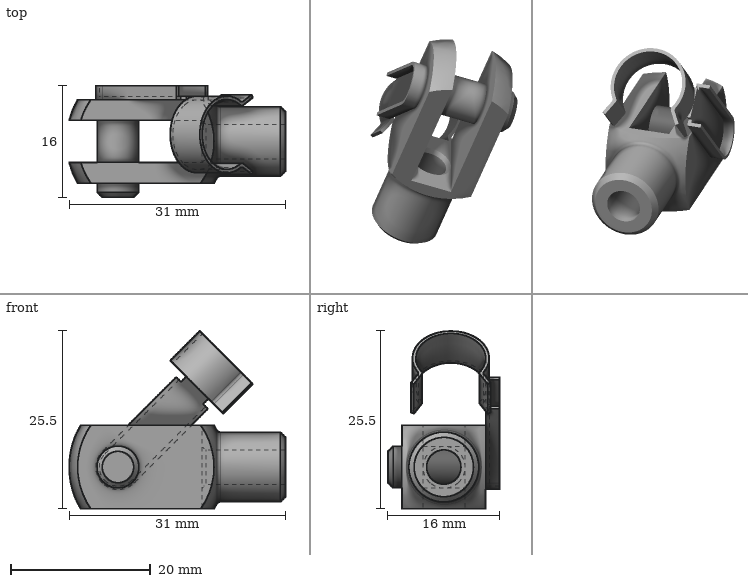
import cadquery as cq
import math

FORK_WIDTH = 12.0
SLOT_WIDTH = 6.0
SLOT_FLOOR_X = 12.0
TIP_X = -7.0
END_DOME_RADIUS = 12.0
REAR_DOME_CENTER_X = 3.36
SHANK_RADIUS = 5.0
SHANK_END_X = 24.0
SHANK_CHAMFER = 0.75
NECK_FILLET = 0.6
BORE_DIAMETER = 4.92
BORE_MOUTH_DIAMETER = 6.0

PIN_DIAMETER = 6.0
PIN_END_Y = -8.0
PIN_CHAMFER = 0.75

CLIP_ANGLE = 45.0
SHEET = 0.5
ARM_HALF_WIDTH = 3.2
ARM_LENGTH = 15.0
ARM_INNER_Y = FORK_WIDTH / 2
ARM_OUTER_Y = 8.0
TONGUE_WIDTH = 4.5
RING_START_X = 16.06
RING_WIDTH = 6.0
RING_INNER_RADIUS = 5.0
RING_OUTER_RADIUS = RING_INNER_RADIUS + SHEET
RING_CENTER_Y = ARM_INNER_Y + SHEET - RING_OUTER_RADIUS
RING_MOUTH_HALF_WIDTH = 4.0
LIP_LENGTH = 2.6
LIP_ANGLE = 29.5
KINK_FILLET = 0.5


def sphere_x(center_x, radius, side):
    """X on a fork end dome at a distance `radius` from the shank axis."""
    return center_x + side * math.sqrt(END_DOME_RADIUS**2 - radius**2)


def turned_blank():
    """Body of revolution: domed front, domed rear, neck fillet and chamfered shank."""
    corner_radius = FORK_WIDTH / math.sqrt(2)
    front_center_x = TIP_X + math.sqrt(END_DOME_RADIUS**2 - (SLOT_WIDTH / 2)**2)
    front_mid_radius = corner_radius / 2

    fillet_center_r = SHANK_RADIUS + NECK_FILLET
    center_distance = END_DOME_RADIUS + NECK_FILLET
    fillet_center_x = REAR_DOME_CENTER_X + math.sqrt(center_distance**2 - fillet_center_r**2)
    neck_r = fillet_center_r * END_DOME_RADIUS / center_distance
    neck_start_angle = math.asin(fillet_center_r / center_distance)
    neck_mid_angle = (neck_start_angle + math.pi / 2) / 2
    neck_mid = (
        fillet_center_x - NECK_FILLET * math.cos(neck_mid_angle),
        fillet_center_r - NECK_FILLET * math.sin(neck_mid_angle),
    )
    rear_mid_r = (corner_radius + neck_r) / 2

    profile = (
        cq.Workplane("XY")
        .moveTo(front_center_x - END_DOME_RADIUS, 0)
        .threePointArc(
            (sphere_x(front_center_x, front_mid_radius, -1), front_mid_radius),
            (sphere_x(front_center_x, corner_radius, -1), corner_radius),
        )
        .lineTo(sphere_x(REAR_DOME_CENTER_X, corner_radius, 1), corner_radius)
        .threePointArc(
            (sphere_x(REAR_DOME_CENTER_X, rear_mid_r, 1), rear_mid_r),
            (sphere_x(REAR_DOME_CENTER_X, neck_r, 1), neck_r),
        )
        .threePointArc(neck_mid, (fillet_center_x, SHANK_RADIUS))
        .lineTo(SHANK_END_X - SHANK_CHAMFER, SHANK_RADIUS)
        .lineTo(SHANK_END_X, SHANK_RADIUS - SHANK_CHAMFER)
        .lineTo(SHANK_END_X, 0)
        .close()
    )
    return profile.revolve(360, (0, 0, 0), (1, 0, 0))


def fork():
    """Square fork cut from the turned blank, with its slot and the shank bore."""
    stock_length = 4 * SHANK_END_X
    square_bar = cq.Workplane("XY").box(stock_length, FORK_WIDTH, FORK_WIDTH)
    body = turned_blank().intersect(square_bar)
    slot = (
        cq.Workplane("XY")
        .box(stock_length, SLOT_WIDTH, FORK_WIDTH)
        .translate((SLOT_FLOOR_X - stock_length / 2, 0, 0))
    )
    bore_radius = BORE_DIAMETER / 2
    mouth_radius = BORE_MOUTH_DIAMETER / 2
    bore = (
        cq.Workplane("XY")
        .moveTo(SLOT_FLOOR_X, 0)
        .lineTo(SLOT_FLOOR_X, mouth_radius)
        .lineTo(SLOT_FLOOR_X + mouth_radius - bore_radius, bore_radius)
        .lineTo(SHANK_END_X, bore_radius)
        .lineTo(SHANK_END_X, 0)
        .close()
        .revolve(360, (0, 0, 0), (1, 0, 0))
    )
    return body.cut(slot).cut(bore)


def pin():
    """Cross pin reaching from its chamfered end to the base sheet of the clip arm."""
    length = ARM_INNER_Y + SHEET - PIN_END_Y
    return (
        cq.Workplane("XZ", origin=(0, PIN_END_Y, 0))
        .circle(PIN_DIAMETER / 2)
        .extrude(-length)
        .faces("<Y")
        .chamfer(PIN_CHAMFER)
    )


def arm_plate(half_width, y_start, y_end):
    """Plate with a round end about the pin axis and a square end at the arm length."""
    return (
        cq.Workplane("XZ", origin=(0, y_start, 0))
        .moveTo(0, half_width)
        .lineTo(ARM_LENGTH, half_width)
        .lineTo(ARM_LENGTH, -half_width)
        .lineTo(0, -half_width)
        .threePointArc((-half_width, 0), (0, half_width))
        .close()
        .extrude(y_start - y_end)
    )


def clip_arm():
    """Sheet channel, open at its outer side and far end, with the tongue to the ring."""
    outside = arm_plate(ARM_HALF_WIDTH, ARM_INNER_Y, ARM_OUTER_Y)
    inside = arm_plate(ARM_HALF_WIDTH - SHEET, ARM_INNER_Y + SHEET, ARM_OUTER_Y)
    tongue = (
        cq.Workplane("XY")
        .box(RING_START_X - ARM_LENGTH, SHEET, TONGUE_WIDTH, centered=(False, False, True))
        .translate((ARM_LENGTH, ARM_INNER_Y, 0))
    )
    return outside.cut(inside).union(tongue)


def clip_ring():
    """Open snap ring around the arm direction, with two lips flaring outward."""
    lean = math.radians(LIP_ANGLE)
    along = (math.sin(lean), -math.cos(lean))
    outward = (math.cos(lean), math.sin(lean))

    kink = (RING_MOUTH_HALF_WIDTH, -math.sqrt(RING_INNER_RADIUS**2 - RING_MOUTH_HALF_WIDTH**2))
    inner_tip = (kink[0] + LIP_LENGTH * along[0], kink[1] + LIP_LENGTH * along[1])
    outer_tip = (inner_tip[0] + SHEET * outward[0], inner_tip[1] + SHEET * outward[1])

    tip_offset = outer_tip[0] * outward[0] + outer_tip[1] * outward[1]
    kink_reach = math.sqrt(RING_OUTER_RADIUS**2 - tip_offset**2)
    outer_kink = (
        tip_offset * outward[0] + kink_reach * along[0],
        tip_offset * outward[1] + kink_reach * along[1],
    )

    def mirrored(point):
        return (-point[0], point[1])

    ring = (
        cq.Workplane("YZ", origin=(RING_START_X, RING_CENTER_Y, 0))
        .moveTo(*kink)
        .threePointArc((0, RING_INNER_RADIUS), mirrored(kink))
        .lineTo(*mirrored(inner_tip))
        .lineTo(*mirrored(outer_tip))
        .lineTo(*mirrored(outer_kink))
        .threePointArc((0, RING_OUTER_RADIUS), outer_kink)
        .lineTo(*outer_tip)
        .lineTo(*inner_tip)
        .close()
        .extrude(RING_WIDTH)
    )
    middle_x = RING_START_X + RING_WIDTH / 2
    for y, z in (kink, mirrored(kink), outer_kink, mirrored(outer_kink)):
        kink_edge = cq.selectors.NearestToPointSelector((middle_x, RING_CENTER_Y + y, z))
        ring = ring.edges(kink_edge).fillet(KINK_FILLET)
    return ring


clip = clip_arm().union(clip_ring()).rotate((0, 0, 0), (0, 1, 0), -CLIP_ANGLE)
result = fork().union(pin()).union(clip)